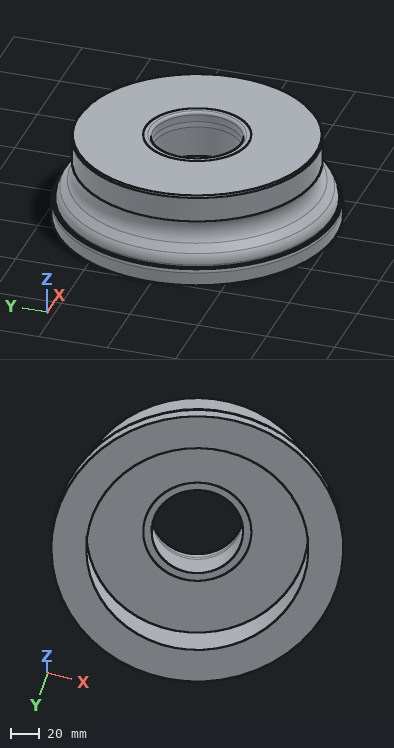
import cadquery as cq
import math

height = 63.5
flange_radius = 101.5

flange_height = 12.5
flange_straight_height = 10.0
flange_top_radius = 101.0
collar_foot_radius = 100.0
collar_top = 13.0

bulge_radius = 98.8
bulge_start = 14.6
bulge_arc = 10.5
slope_width = 5.3
neck_arc = 14.2

tread_radius = 87.4
tread_bevel_width = 0.8
tread_bevel_height = 1.6

recess_radius = 77.2
recess_depth = 28.9

bushing_radius = 37.5
mouth_radius = 32.1
bore_radius = 31.7
mouth_round = 2.2
mouth_depth = 7.5
taper_end_depth = 11.5

diagonal = math.sqrt(0.5)


def make_wheel():
    """Cup-shaped wheel with a moulded side, turned about Z."""
    bulge_center = bulge_radius - bulge_arc
    bulge_mid = (bulge_center + bulge_arc * math.cos(math.pi / 8),
                 bulge_start + bulge_arc * math.sin(math.pi / 8))
    slope_foot = (bulge_center + bulge_arc * diagonal, bulge_start + bulge_arc * diagonal)
    slope_head = (slope_foot[0] - slope_width, slope_foot[1] + slope_width)

    neck_center_r = slope_head[0] + neck_arc * diagonal
    neck_center_z = slope_head[1] + neck_arc * diagonal
    neck_mid = (neck_center_r - neck_arc, neck_center_z)
    neck_rise = math.sqrt(neck_arc**2 - (neck_center_r - tread_radius)**2)
    neck_head = (tread_radius, neck_center_z + neck_rise)

    profile = (
        cq.Workplane("XZ")
        .moveTo(recess_radius, 0)
        .lineTo(flange_radius, 0)
        .lineTo(flange_radius, flange_straight_height)
        .lineTo(flange_top_radius, flange_height)
        .lineTo(collar_foot_radius, flange_height)
        .lineTo(bulge_radius, collar_top)
        .lineTo(bulge_radius, bulge_start)
        .threePointArc(bulge_mid, slope_foot)
        .lineTo(*slope_head)
        .threePointArc(neck_mid, neck_head)
        .lineTo(tread_radius, height - tread_bevel_height)
        .lineTo(tread_radius - tread_bevel_width, height)
        .lineTo(bushing_radius, height)
        .lineTo(bushing_radius, recess_depth)
        .lineTo(recess_radius, recess_depth)
        .close()
    )
    return profile.revolve(360, (0, 0, 0), (0, 1, 0))


def make_bushing():
    """Bushing through the hub, with a rounded mouth tapering into the bore."""
    round_center_r = mouth_radius + mouth_round
    round_center_z = height - mouth_round
    round_mid = (round_center_r - mouth_round * diagonal, round_center_z + mouth_round * diagonal)

    profile = (
        cq.Workplane("XZ")
        .moveTo(bore_radius, recess_depth)
        .lineTo(bushing_radius, recess_depth)
        .lineTo(bushing_radius, height)
        .lineTo(round_center_r, height)
        .threePointArc(round_mid, (mouth_radius, round_center_z))
        .lineTo(mouth_radius, height - mouth_depth)
        .lineTo(bore_radius, height - taper_end_depth)
        .close()
    )
    return profile.revolve(360, (0, 0, 0), (0, 1, 0))


wheel = make_wheel()
bushing = make_bushing()

result = cq.Compound.makeCompound([wheel.val(), bushing.val()])